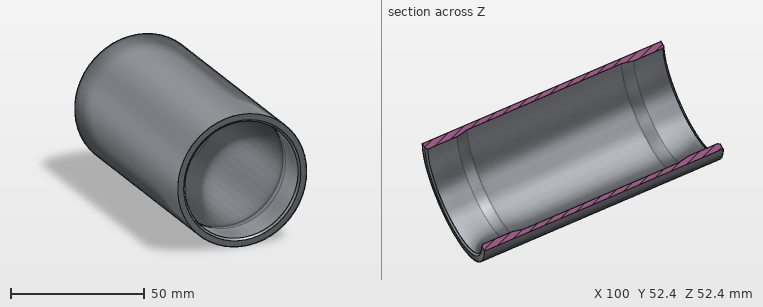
import cadquery as cq

length = 100.0
outer_diameter = 52.4

bore_diameter = 46.0
mouth_diameter = 47.6
mouth_chamfer_length = (mouth_diameter - bore_diameter) / 2
land_length = 13.0

recess_diameter = 48.0
recess_taper_length = 4.7
recess_start = land_length + recess_taper_length


def tube_body():
    return cq.Workplane("YZ").circle(outer_diameter / 2).extrude(length)


def bore_cutter():
    """Solid of the open inside of the tube, symmetric about mid-length."""
    end_profile = [
        (0, mouth_diameter / 2),
        (mouth_chamfer_length, bore_diameter / 2),
        (land_length, bore_diameter / 2),
        (recess_start, recess_diameter / 2),
    ]
    far_profile = [(length - depth, radius) for depth, radius in reversed(end_profile)]
    outline = [(0, 0)] + end_profile + far_profile + [(length, 0)]
    return (
        cq.Workplane("XZ")
        .polyline(outline)
        .close()
        .revolve(360, (0, 0, 0), (1, 0, 0))
    )


result = tube_body().cut(bore_cutter())